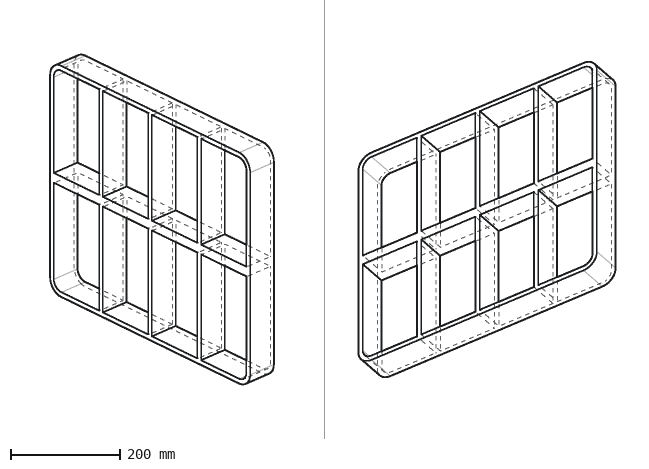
import cadquery as cq

width = 532.0
depth = 60.0
height = 476.0

wall = 10.0
divider = 10.0
middle_bar = 20.0
outer_radius = 30.0
inner_radius = outer_radius - wall
columns = 4

inner_width = width - 2 * wall
inner_height = height - 2 * wall
column_pitch = (inner_width + divider) / columns


def upright_block(x_size, z_size):
    """Block through the full depth of the frame."""
    return cq.Workplane("XY").box(x_size, depth, z_size)


def rim():
    """Rounded outer band with a constant wall."""
    outside = upright_block(width, height).edges("|Y").fillet(outer_radius)
    inside = upright_block(inner_width, inner_height).edges("|Y").fillet(inner_radius)
    return outside.cut(inside)


result = rim().union(upright_block(width - wall, middle_bar))

for index in range(1, columns):
    divider_x = (index - columns / 2) * column_pitch
    post = upright_block(divider, height - wall).translate((divider_x, 0, 0))
    result = result.union(post)